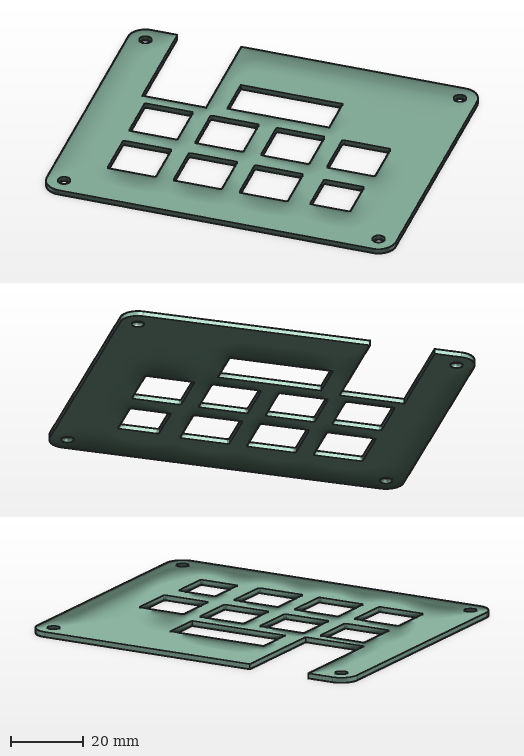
import cadquery as cq

plate_length = 100.96
plate_width = 81.72
plate_thickness = 1.5
corner_radius = 5.0

mount_hole_diameter = 3.4
mount_spacing_x = plate_length - 2 * corner_radius
mount_spacing_y = plate_width - 2 * corner_radius

key_pitch = 19.05
key_columns = 4
key_rows = 2
key_opening = 14.0
key_corner_radius = 0.5
first_key_x = -29.05
first_key_y = -0.4
encoder_position = (key_columns - 1, key_rows - 1)

encoder_length = 11.65
encoder_width = 12.5
encoder_corner_radius = 0.5

display_length = 29.5
display_width = 12.0
display_x = 1.0
display_y = 17.2

notch_left = -37.85
notch_width = 18.45
notch_floor_y = 9.85


def make_plate():
    """Flat plate with rounded corners, resting on Z = 0."""
    plate = cq.Workplane("XY").box(plate_length, plate_width, plate_thickness, centered=(True, True, False))
    return plate.edges("|Z").fillet(corner_radius)


def opening(length, width, x, y, radius=0.0):
    """Full-depth cutter for a rectangular opening centred on (x, y)."""
    cutter = cq.Workplane("XY").box(length, width, plate_thickness, centered=(True, True, False))
    if radius > 0:
        cutter = cutter.edges("|Z").fillet(radius)
    return cutter.translate((x, y, 0))


def cut_mount_holes(plate):
    holes = (
        cq.Workplane("XY")
        .rect(mount_spacing_x, mount_spacing_y, forConstruction=True)
        .vertices()
        .circle(mount_hole_diameter / 2)
        .extrude(plate_thickness)
    )
    return plate.cut(holes)


def cut_key_grid(plate):
    for column in range(key_columns):
        for row in range(key_rows):
            x = first_key_x + column * key_pitch
            y = first_key_y - row * key_pitch
            if (column, row) == encoder_position:
                cutter = opening(encoder_length, encoder_width, x, y, encoder_corner_radius)
            else:
                cutter = opening(key_opening, key_opening, x, y, key_corner_radius)
            plate = plate.cut(cutter)
    return plate


def cut_display_window(plate):
    return plate.cut(opening(display_length, display_width, display_x, display_y))


def cut_controller_notch(plate):
    notch_depth = plate_width / 2 - notch_floor_y
    notch_x = notch_left + notch_width / 2
    notch_y = notch_floor_y + notch_depth / 2
    return plate.cut(opening(notch_width, notch_depth, notch_x, notch_y))


result = make_plate()
result = cut_mount_holes(result)
result = cut_key_grid(result)
result = cut_display_window(result)
result = cut_controller_notch(result)